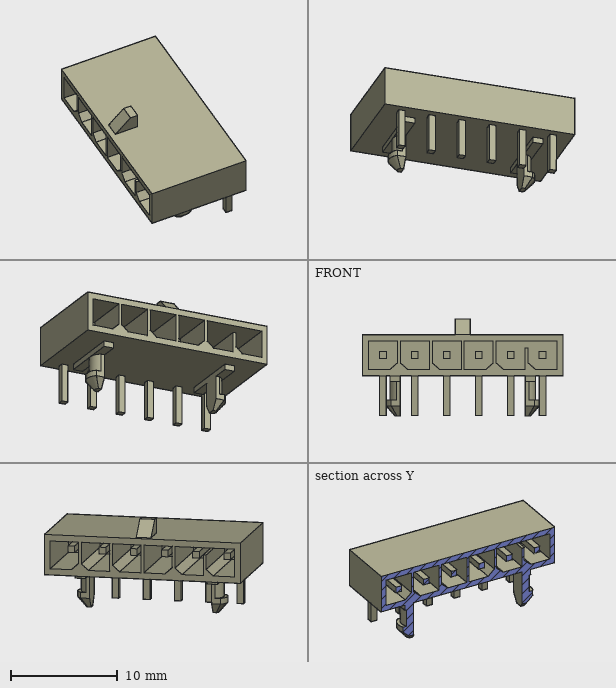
import cadquery as cq

BODY_WIDTH = 18.85
BODY_DEPTH = 9.91
BODY_HEIGHT = 3.87

PITCH = 3.0
PIN_SIZE = 0.64
PIN_TIP_Y = 3.0
TAIL_BACK_INSET = 0.67
TAIL_LENGTH = 3.74

KEY_SIDES = [1, -1, -1, 1, -1, -1]
CAVITY_WIDTH = 2.72
CAVITY_HEIGHT = 2.66
CAVITY_DEPTH = 8.0
KEY_WIDTH = 0.68
KEY_HEIGHT = 0.6
LOW_WALL_HEIGHT = 1.98

LATCH_WIDTH = 1.42
LATCH_HEIGHT = 1.46
LATCH_FRONT_Y = 0.56
LATCH_CREST_Y = 2.15
LATCH_BACK_Y = 2.9

RAIL_INNER_X = 5.86
RAIL_WIDTH = 0.98
RAIL_HEIGHT = 0.55
RAIL_FRONT_Y = 1.72
RAIL_BACK_Y = 8.17
PEG_Y = 4.59
PEG_HALF_WIDTH = 1.015
SHAFT_SIDE = 0.36
HEAD_SIDE = 0.86
HEAD_REACH = 1.34
HEAD_TOP_Z = -2.27
TAPER_TOP_Z = -2.82
PEG_TIP_Z = -3.79
TIP_SCALE = 0.37

cavity_centre_z = BODY_HEIGHT / 2
cavity_floor_z = cavity_centre_z - CAVITY_HEIGHT / 2
contact_count = len(KEY_SIDES)
contact_xs = [(i - (contact_count - 1) / 2) * PITCH for i in range(contact_count)]
tail_back_y = BODY_DEPTH - TAIL_BACK_INSET


def box(x0, x1, y0, y1, z0, z1):
    """Box between two opposite corners."""
    return cq.Workplane("XY").box(x1 - x0, y1 - y0, z1 - z0, centered=False).translate((x0, y0, z0))


def cavity(x, key_side):
    """Contact cavity, open at the front, with one lower corner cut off as a key."""
    half_width = CAVITY_WIDTH / 2
    top_z = cavity_floor_z + CAVITY_HEIGHT
    outline = [
        (x - key_side * half_width, cavity_floor_z),
        (x - key_side * half_width, top_z),
        (x + key_side * half_width, top_z),
        (x + key_side * half_width, cavity_floor_z + KEY_HEIGHT),
        (x + key_side * (half_width - KEY_WIDTH), cavity_floor_z),
    ]
    return cq.Workplane("XZ").polyline(outline).close().extrude(-CAVITY_DEPTH)


def low_wall_window():
    """Opening between the last two cavities, above the low wall that parts them."""
    return box(
        contact_xs[-2], contact_xs[-1],
        0, CAVITY_DEPTH,
        cavity_floor_z + LOW_WALL_HEIGHT, cavity_floor_z + CAVITY_HEIGHT,
    )


def contact(x):
    """Square right-angle contact: a blade in the cavity and a tail below the housing."""
    half = PIN_SIZE / 2
    pin_top_z = cavity_centre_z + half
    blade = box(x - half, x + half, PIN_TIP_Y, tail_back_y, cavity_centre_z - half, pin_top_z)
    tail = box(x - half, x + half, tail_back_y - PIN_SIZE, tail_back_y, -TAIL_LENGTH, pin_top_z)
    return blade.union(tail)


def latch():
    """Ramp on the top face, rising from the front to a flat crest."""
    crest_z = BODY_HEIGHT + LATCH_HEIGHT
    outline = [
        (LATCH_FRONT_Y, BODY_HEIGHT),
        (LATCH_CREST_Y, crest_z),
        (LATCH_BACK_Y, crest_z),
        (LATCH_BACK_Y, BODY_HEIGHT),
    ]
    return cq.Workplane("YZ").polyline(outline).close().extrude(LATCH_WIDTH / 2, both=True)


def peg_section(plane, side, reach, scale=1.0):
    """D-shaped section: flat inner face, straight sides, then an arc bulging outwards in X."""
    half_width = PEG_HALF_WIDTH * scale
    side_x = RAIL_INNER_X + side * scale
    return (
        plane.moveTo(RAIL_INNER_X, PEG_Y - half_width)
        .lineTo(side_x, PEG_Y - half_width)
        .threePointArc((RAIL_INNER_X + reach * scale, PEG_Y), (side_x, PEG_Y + half_width))
        .lineTo(RAIL_INNER_X, PEG_Y + half_width)
        .close()
    )


def rail_with_peg():
    """Rail on the +X side with its board peg: shaft, wider head and tapered tip."""
    rail = box(RAIL_INNER_X, RAIL_INNER_X + RAIL_WIDTH, RAIL_FRONT_Y, RAIL_BACK_Y, -RAIL_HEIGHT, 0)
    shaft_plane = cq.Workplane("XY").workplane(offset=HEAD_TOP_Z)
    shaft = peg_section(shaft_plane, SHAFT_SIDE, RAIL_WIDTH).extrude(-RAIL_HEIGHT - HEAD_TOP_Z)
    head_plane = cq.Workplane("XY").workplane(offset=TAPER_TOP_Z)
    head = peg_section(head_plane, HEAD_SIDE, HEAD_REACH)
    head_block = head.extrude(HEAD_TOP_Z - TAPER_TOP_Z)
    tip_plane = peg_section(head_plane, HEAD_SIDE, HEAD_REACH).workplane(offset=PEG_TIP_Z - TAPER_TOP_Z)
    tip = peg_section(tip_plane, HEAD_SIDE, HEAD_REACH, TIP_SCALE).loft(ruled=True)
    return rail.union(shaft).union(head_block).union(tip)


result = box(-BODY_WIDTH / 2, BODY_WIDTH / 2, 0, BODY_DEPTH, 0, BODY_HEIGHT)
for contact_x, key_side in zip(contact_xs, KEY_SIDES):
    result = result.cut(cavity(contact_x, key_side))
result = result.cut(low_wall_window())

for contact_x in contact_xs:
    result = result.union(contact(contact_x))
result = result.union(latch())
right_rail = rail_with_peg()
result = result.union(right_rail).union(right_rail.mirror("YZ"))